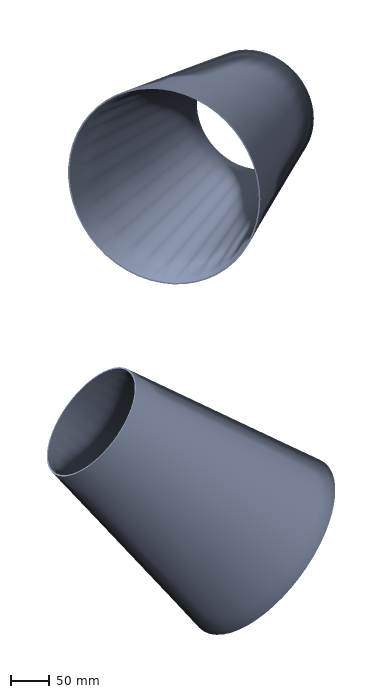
import cadquery as cq

length = 314
wide_outer_diameter = 273.0
narrow_outer_diameter = 168.3
wall = 2.05

wide_outer_radius = wide_outer_diameter / 2
narrow_outer_radius = narrow_outer_diameter / 2

wall_section = [
    (wide_outer_radius, 0),
    (narrow_outer_radius, length),
    (narrow_outer_radius - wall, length),
    (wide_outer_radius - wall, 0),
]

result = (
    cq.Workplane("XY")
    .polyline(wall_section)
    .close()
    .revolve(360, (0, 0, 0), (0, 1, 0))
)